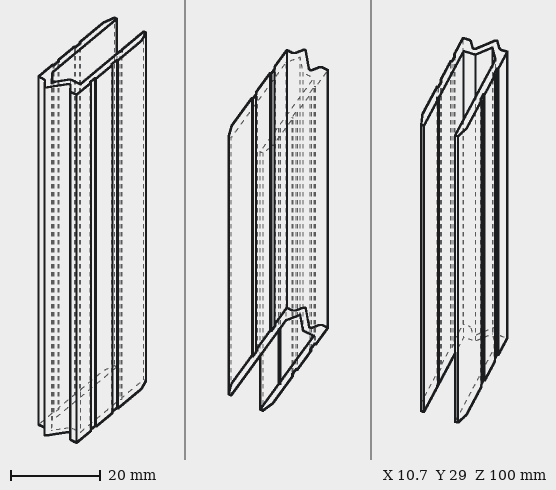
import cadquery as cq
import math

length = 100.0
width = 10.7
depth = 29.0

wall = 1.6
tip_width = 0.7
taper_length = 2.9
foot_height = 2.1
groove_depth = 0.3
groove_width = 1.9
groove_heights = (8.4, 16.4)
nick_radius = 0.3
nick_height = 20.6

web = 1.5
flank_angle = math.radians(56)
diagonal_angle = math.radians(51)
keel_x = -1.9
keel_radius = 0.4
valley_radius = 0.5
valley_height = 4.1
floor_height = 5.6
foot_radius = 1.0

half_width = width / 2
inner_x = half_width - wall
tip_x = inner_x + tip_width
top_y = depth / 2
keel_y = -depth / 2
foot_y = keel_y + foot_height
floor_y = keel_y + floor_height
flank_slope = math.tan(flank_angle)
diagonal_slope = math.tan(diagonal_angle)
mean_angle = (flank_angle + diagonal_angle) / 2
half_difference = (flank_angle - diagonal_angle) / 2


def corner_rise(distance):
    """Vertical shift of a zigzag corner when both its faces are offset by a distance."""
    return distance * math.cos(half_difference) / math.cos(mean_angle)


def corner_shift(distance):
    """Sideways shift of a zigzag corner when both its faces are offset by a distance."""
    return distance * math.sin(half_difference) / math.cos(mean_angle)


def corner_overshoot(radius):
    """Vertical distance from a rounded peak to the sharp corner it replaces."""
    return corner_rise(radius) - radius


sharp_keel_y = keel_y - corner_overshoot(keel_radius)
valley_y = keel_y + valley_height + corner_overshoot(valley_radius)
valley_x = keel_x + (valley_y - sharp_keel_y) / diagonal_slope
left_foot_x = keel_x - (foot_y - sharp_keel_y) / flank_slope
right_foot_x = valley_x + (valley_y - foot_y) / flank_slope
inner_keel_x = keel_x + corner_shift(web)
inner_keel_y = sharp_keel_y + corner_rise(web)
left_floor_y = inner_keel_y + (inner_keel_x + inner_x) * flank_slope
floor_start_x = inner_keel_x + (floor_y - inner_keel_y) / diagonal_slope


def make_profile_body():
    outline = [
        (-half_width, foot_y),
        (left_foot_x, foot_y),
        (keel_x, sharp_keel_y),
        (valley_x, valley_y),
        (right_foot_x, foot_y),
        (half_width, foot_y),
        (half_width, top_y - taper_length),
        (tip_x, top_y),
        (inner_x, top_y),
        (inner_x, floor_y),
        (floor_start_x, floor_y),
        (inner_keel_x, inner_keel_y),
        (-inner_x, left_floor_y),
        (-inner_x, top_y),
        (-tip_x, top_y),
        (-half_width, top_y - taper_length),
    ]
    return cq.Workplane("XY").workplane(offset=-length / 2).polyline(outline).close().extrude(length)


def round_edge(body, x, y, radius):
    """Fillet the full-length edge passing through (x, y)."""
    return body.edges(cq.selectors.NearestToPointSelector((x, y, 0))).fillet(radius)


def cut_outer_grooves(body):
    for height in groove_heights:
        for side in (-1, 1):
            groove = cq.Workplane("XY").box(2 * groove_depth, groove_width, length)
            body = body.cut(groove.translate((side * half_width, keel_y + height, 0)))
    return body


def cut_inner_nick(body):
    nick = cq.Workplane("XY").circle(nick_radius).extrude(length / 2, both=True)
    return body.cut(nick.translate((inner_x, keel_y + nick_height, 0)))


result = make_profile_body()
result = round_edge(result, left_foot_x, foot_y, foot_radius)
result = round_edge(result, right_foot_x, foot_y, foot_radius)
result = round_edge(result, keel_x, sharp_keel_y, keel_radius)
result = round_edge(result, valley_x, valley_y, valley_radius)
result = cut_outer_grooves(result)
result = cut_inner_nick(result)